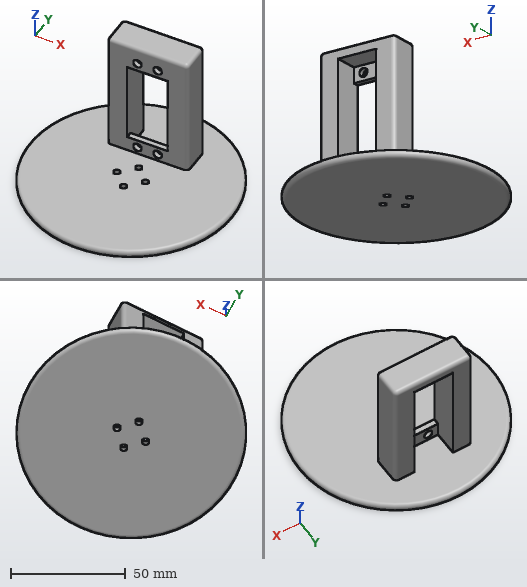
import cadquery as cq

base_diameter = 100.0
base_thickness = 4.0
rim_radius = base_thickness / 2
flat_radius = base_diameter / 2 - rim_radius

block_width = 40.0
block_depth = 15.0
block_height = 60.0
block_front_y = 15.0
block_edge_radius = 2.0

window_width = 20.0
window_height = 40.0
window_center_z = base_thickness + 27.5
front_wall_thickness = 3.0
block_hole_diameter = 4.0
block_hole_spacing_x = 10.0
block_hole_spacing_z = 48.0

pocket_height = 2 * (window_center_z - base_thickness)

base_hole_diameter = 3.0
base_hole_circle_radius = 7.0
base_hole_count = 4


def make_base():
    """Revolve the half section, flat faces joined by a semicircular rim."""
    plate = (
        cq.Workplane("XZ")
        .lineTo(flat_radius, 0)
        .threePointArc((base_diameter / 2, rim_radius), (flat_radius, base_thickness))
        .lineTo(0, base_thickness)
        .close()
        .revolve(360, (0, 0), (0, 1))
    )
    holes = (
        cq.Workplane("XY")
        .polarArray(base_hole_circle_radius, 0, 360, base_hole_count)
        .circle(base_hole_diameter / 2)
        .extrude(base_thickness)
    )
    return plate.cut(holes)


def make_block():
    """Rounded block, pocketed from the back, with a window and holes in its front wall."""
    block = (
        cq.Workplane("XY", origin=(0, block_front_y + block_depth / 2, base_thickness))
        .rect(block_width, block_depth)
        .extrude(block_height)
        .edges("|Z or >Z")
        .fillet(block_edge_radius)
    )
    front = cq.Workplane("XZ", origin=(0, block_front_y, window_center_z))
    window = front.rect(window_width, window_height).extrude(-front_wall_thickness)
    holes = (
        front.rarray(block_hole_spacing_x, block_hole_spacing_z, 2, 2)
        .circle(block_hole_diameter / 2)
        .extrude(-front_wall_thickness)
    )
    pocket = (
        cq.Workplane("XZ", origin=(0, block_front_y + front_wall_thickness, window_center_z))
        .rect(window_width, pocket_height)
        .extrude(front_wall_thickness - block_depth)
    )
    return block.cut(window).cut(pocket).cut(holes)


result = make_base().union(make_block())